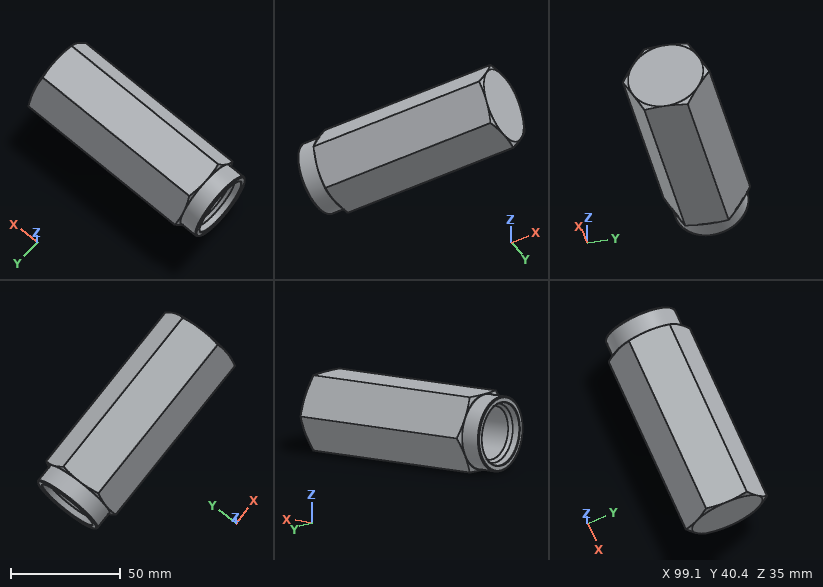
import cadquery as cq
import math

total_length = 99.1
across_flats = 35.0
collar_diameter = 34.6
collar_length = 9.2
collar_chamfer = 0.5
hex_chamfer_angle = 20.0

mouth_diameter = 29.5
mouth_chamfer = 0.3
taper_end_diameter = 27.2
taper_end_depth = 3.3
bore_diameter = 24.7
seat_end_depth = 5.0
bore_depth = 29.7
drill_point_angle = 118.0

across_corners = across_flats / math.cos(math.radians(30))
hex_length = total_length - collar_length
collar_radius = collar_diameter / 2
bore_radius = bore_diameter / 2
taper_end_radius = taper_end_diameter / 2
mouth_radius = mouth_diameter / 2
drill_tip_length = bore_radius / math.tan(math.radians(drill_point_angle / 2))


def revolve_about_axis(profile_points):
    """Solid of revolution about X from (x, radius) points."""
    return cq.Workplane("XY").polyline(profile_points).close().revolve(360, (0, 0, 0), (1, 0, 0))


def make_hex_body():
    """Hexagonal bar with flats facing +Z and -Z and corners chamfered by a cone at both ends."""
    bar = (
        cq.Workplane("YZ", origin=(collar_length, 0, 0))
        .polygon(6, across_corners)
        .extrude(hex_length)
    )
    end_radius = across_flats / 2
    corner_radius = across_corners / 2
    chamfer_length = (corner_radius - end_radius) * math.tan(math.radians(hex_chamfer_angle))
    envelope = revolve_about_axis([
        (collar_length, 0),
        (collar_length, end_radius),
        (collar_length + chamfer_length, corner_radius),
        (total_length - chamfer_length, corner_radius),
        (total_length, end_radius),
        (total_length, 0),
    ])
    return bar.intersect(envelope)


def make_collar():
    """Round collar at the inlet end with a chamfered outer rim."""
    return (
        cq.Workplane("YZ")
        .circle(collar_radius)
        .extrude(collar_length)
        .faces("<X")
        .chamfer(collar_chamfer)
    )


def make_bore():
    """Stepped blind bore: chamfered mouth, slender taper, steeper seat cone, bore and drill point."""
    return revolve_about_axis([
        (0, 0),
        (0, mouth_radius),
        (mouth_chamfer, mouth_radius - mouth_chamfer),
        (taper_end_depth, taper_end_radius),
        (seat_end_depth, bore_radius),
        (bore_depth, bore_radius),
        (bore_depth + drill_tip_length, 0),
    ])


result = make_hex_body().union(make_collar()).cut(make_bore())